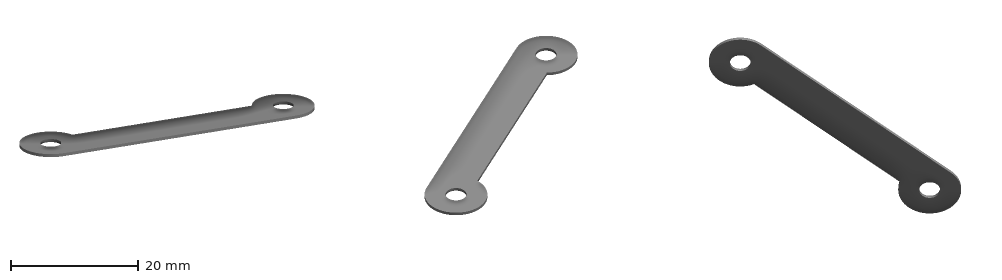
import cadquery as cq

length = 49.9
thickness = 0.5
eye_diameter = 9.9
hole_diameter = 3.3
bar_width = 6.8

eye_radius = eye_diameter / 2
hole_spacing = length - eye_diameter
eye_centers = [(0, -hole_spacing / 2), (0, hole_spacing / 2)]

bar_center_x = eye_radius - bar_width / 2
bar = cq.Workplane("XY").center(bar_center_x, 0).rect(bar_width, hole_spacing).extrude(thickness)

eyes = cq.Workplane("XY").pushPoints(eye_centers).circle(eye_radius).extrude(thickness)

holes = cq.Workplane("XY").pushPoints(eye_centers).circle(hole_diameter / 2).extrude(thickness)

result = bar.union(eyes).cut(holes)